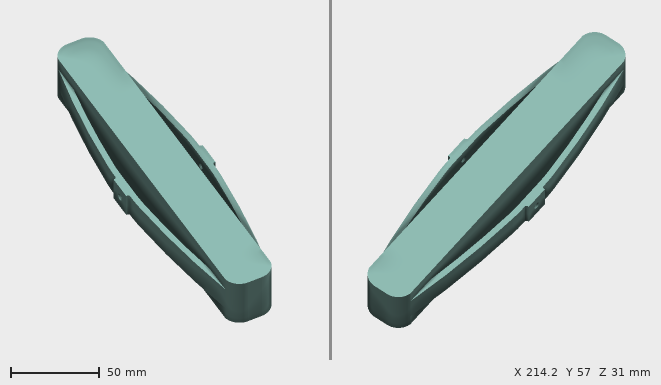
import cadquery as cq
import math

bar_length = 214.16
bar_width = 29.0
bar_height = 31.0
end_flat_width = 8.8
corner_radius = 10.3

overall_width = 57.0
arm_height = 15.0
arm_thickness = 3.6
shoulder_radius = 130.0
shoulder_end_x = 19.0

pad_width = 15.0
pad_height = 1.85
pad_foot_radius = 1.2
hole_diameter = 4.2

half_length = bar_length / 2
half_width = bar_width / 2
corner_center_x = half_length - corner_radius
corner_center_y = end_flat_width / 2
corner_sweep = math.asin((half_width - corner_center_y) / corner_radius)
tip_x = corner_center_x + corner_radius * math.cos(corner_sweep)

pad_face_y = overall_width / 2
flat_y = pad_face_y - pad_height
pad_half = pad_width / 2
flat_half = pad_half + pad_foot_radius
shoulder_center_y = flat_y - shoulder_radius
joint_angle = math.asin((shoulder_end_x - flat_half) / shoulder_radius)
joint_y = shoulder_center_y + shoulder_radius * math.cos(joint_angle)

drop_x = tip_x - shoulder_end_x
drop_y = joint_y - half_width
inward_offset = drop_x * math.sin(joint_angle) - drop_y * math.cos(joint_angle)
side_radius = -(drop_x**2 + drop_y**2) / (2 * inward_offset)
side_center_x = shoulder_end_x - side_radius * math.sin(joint_angle)
side_center_y = joint_y - side_radius * math.cos(joint_angle)


def shoulder_point(angle, depth):
    """Point on the +X shoulder at an angle from +Y, a given depth below the outer surface."""
    radius = shoulder_radius - depth
    return flat_half + radius * math.sin(angle), shoulder_center_y + radius * math.cos(angle)


def side_point(angle, depth):
    """Point on the +X side stretch at an angle from +Y, a given depth below the outer surface."""
    radius = side_radius - depth
    return side_center_x + radius * math.sin(angle), side_center_y + radius * math.cos(angle)


def mirrored(point):
    return -point[0], point[1]


def centered_prism(profile, height):
    return profile.close().extrude(height / 2, both=True)


def make_bar():
    middle_angle = corner_sweep / 2
    corner_middle_x = corner_center_x + corner_radius * math.cos(middle_angle)
    corner_middle_y = corner_center_y + corner_radius * math.sin(middle_angle)
    profile = (
        cq.Workplane("XY")
        .moveTo(half_length, -corner_center_y)
        .lineTo(half_length, corner_center_y)
        .threePointArc((corner_middle_x, corner_middle_y), (tip_x, half_width))
        .lineTo(-tip_x, half_width)
        .threePointArc((-corner_middle_x, corner_middle_y), (-half_length, corner_center_y))
        .lineTo(-half_length, -corner_center_y)
        .threePointArc((-corner_middle_x, -corner_middle_y), (-tip_x, -half_width))
        .lineTo(tip_x, -half_width)
        .threePointArc((corner_middle_x, -corner_middle_y), (half_length, -corner_center_y))
    )
    return centered_prism(profile, bar_height)


def make_arm_segment(depth):
    """Solid under the arm surface at the given depth, down to the side of the bar."""
    root_angle = math.acos((half_width - side_center_y) / (side_radius - depth))
    root = side_point(root_angle, depth)
    side_middle = side_point((joint_angle + root_angle) / 2, depth)
    joint = shoulder_point(joint_angle, depth)
    shoulder_middle = shoulder_point(joint_angle / 2, depth)
    flat_end = shoulder_point(0, depth)
    profile = (
        cq.Workplane("XY")
        .moveTo(*root)
        .threePointArc(side_middle, joint)
        .threePointArc(shoulder_middle, flat_end)
        .lineTo(*mirrored(flat_end))
        .threePointArc(mirrored(shoulder_middle), mirrored(joint))
        .threePointArc(mirrored(side_middle), mirrored(root))
    )
    return centered_prism(profile, arm_height)


def make_pad():
    """Pad with flared feet, reaching down into the thickness of the arm."""
    round_top_y = flat_y + pad_foot_radius
    round_reach = pad_foot_radius * (1 - math.sqrt(0.5))
    round_middle = (pad_half + round_reach, flat_y + round_reach)
    base_y = flat_y - arm_thickness / 2
    profile = (
        cq.Workplane("XY")
        .moveTo(pad_half, pad_face_y)
        .lineTo(pad_half, round_top_y)
        .threePointArc(round_middle, (flat_half, flat_y))
        .lineTo(flat_half, base_y)
        .lineTo(-flat_half, base_y)
        .lineTo(-flat_half, flat_y)
        .threePointArc(mirrored(round_middle), (-pad_half, round_top_y))
        .lineTo(-pad_half, pad_face_y)
    )
    return centered_prism(profile, arm_height)


def make_arm():
    """The +Y arm, with a screw hole through its pad into the gap beside the bar."""
    band = make_arm_segment(0).cut(make_arm_segment(arm_thickness))
    hole_length = pad_face_y - half_width
    hole = (
        cq.Workplane("XZ", origin=(0, pad_face_y, 0))
        .circle(hole_diameter / 2)
        .extrude(hole_length)
    )
    return band.union(make_pad()).cut(hole)


arm = make_arm()
result = make_bar().union(arm).union(arm.mirror("XZ"))